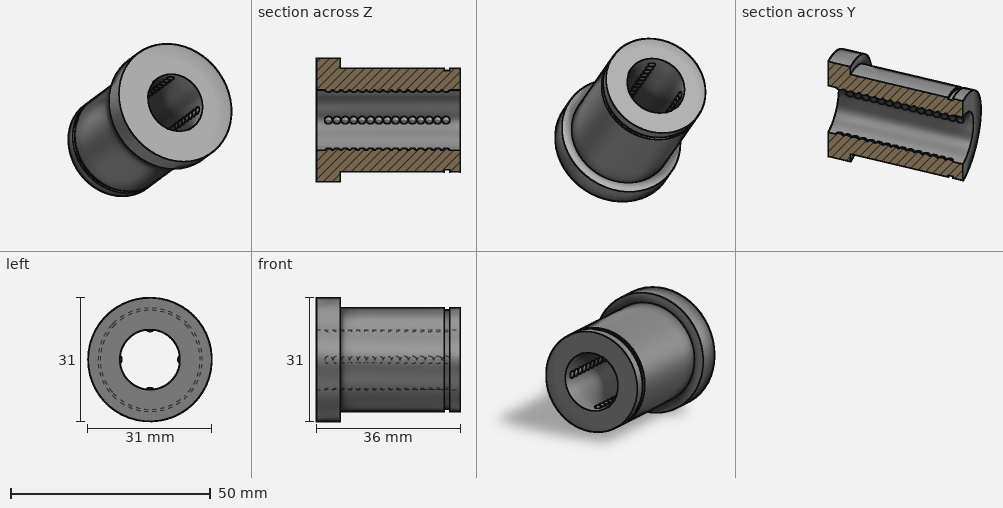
import cadquery as cq

length = 36.0
flange_diameter = 31.0
flange_thickness = 6.0
body_diameter = 26.0
bore_diameter = 15.0

groove_diameter = 24.9
groove_width = 1.3
groove_end_land = 2.7

row_count = 4
ball_radius = 1.2
ball_protrusion = 0.5
ball_pitch = 2.1
first_ball_offset = 3.0
ball_circle_radius = bore_diameter / 2 - ball_protrusion + ball_radius
balls_per_row = int((length - 2 * first_ball_offset) / ball_pitch) + 1


def cylinder(diameter, start, height):
    """Solid cylinder along +X beginning at X = start."""
    return cq.Workplane("YZ", origin=(start, 0, 0)).circle(diameter / 2).extrude(height)


def make_sleeve():
    """Flanged sleeve with a through bore."""
    flange = cylinder(flange_diameter, 0, flange_thickness)
    body = cylinder(body_diameter, 0, length)
    return flange.union(body).cut(cylinder(bore_diameter, 0, length))


def make_groove():
    """Ring of material removed for the retaining ring."""
    start = length - groove_end_land - groove_width
    outer = cylinder(body_diameter, start, groove_width)
    return outer.cut(cylinder(groove_diameter, start, groove_width))


def make_ball_row():
    """One row of balls set into the wall at the top of the bore."""
    centres = [
        (first_ball_offset + index * ball_pitch, 0, ball_circle_radius)
        for index in range(balls_per_row)
    ]
    return cq.Workplane("XY").pushPoints(centres).sphere(ball_radius)


result = make_sleeve().cut(make_groove())
ball_row = make_ball_row()
for row in range(row_count):
    row_angle = row * 360.0 / row_count
    result = result.union(ball_row.rotate((0, 0, 0), (1, 0, 0), row_angle))